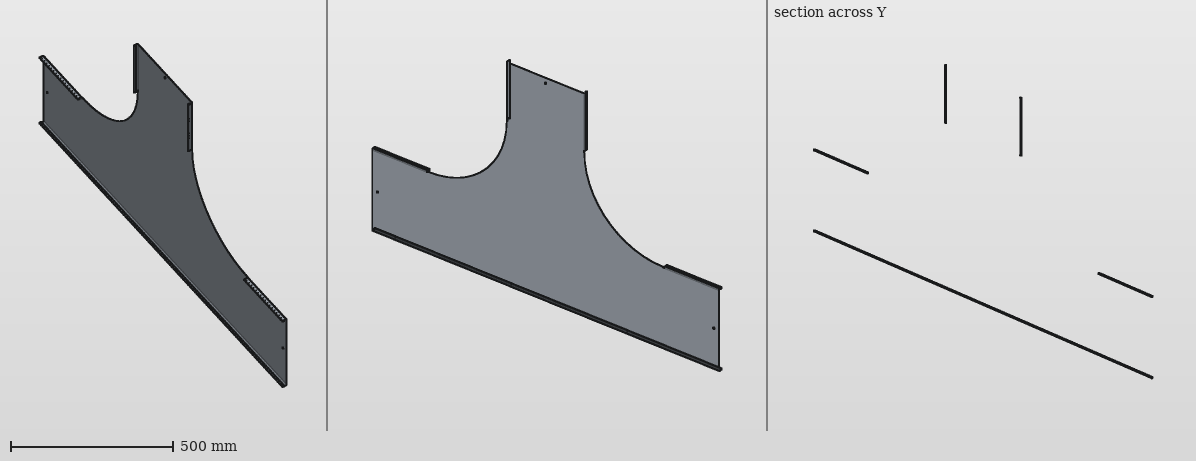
import cadquery as cq

length = 1334.0
depth = 16.0
height = 818.0
sheet = 1.1

plate_bend = 4.0
lip_bend = 2.0

arm_width = 301.0
half_length = length / 2
half_arm = arm_width / 2

corner_radius = 300.0
edge_inset = 1.0
plate_shoulder = arm_width - edge_inset
plate_half_arm = half_arm - edge_inset
corner_x = plate_half_arm + corner_radius
corner_z = plate_shoulder + corner_radius

lip_width = 4.7
lip_return = 7.0
relief = 4.0
arm_rim_length = 211.0

hole_diameter = 5.0
hole_inset = 20.0


def make_plate():
    """Flat tee plate whose outer face lies on Y = depth."""
    arc_offset = corner_radius * 0.5 ** 0.5
    arc_x = corner_x - arc_offset
    arc_z = corner_z - arc_offset
    return (
        cq.Workplane("XZ", origin=(0, depth, 0))
        .moveTo(-half_length, plate_bend)
        .lineTo(half_length, plate_bend)
        .lineTo(half_length, plate_shoulder)
        .lineTo(corner_x, plate_shoulder)
        .threePointArc((arc_x, arc_z), (plate_half_arm, corner_z))
        .lineTo(plate_half_arm, height)
        .lineTo(-plate_half_arm, height)
        .lineTo(-plate_half_arm, corner_z)
        .threePointArc((-arc_x, arc_z), (-corner_x, plate_shoulder))
        .lineTo(-half_length, plate_shoulder)
        .close()
        .extrude(sheet)
    )


def make_rim(rim_length):
    """Rim along +X from the origin: a rounded bar hollowed inside the lip and open next to the plate."""
    bar = (
        cq.Workplane("XY")
        .box(rim_length, depth, lip_width, centered=False)
        .edges("|X and <Y")
        .fillet(lip_bend)
        .edges("|X and >Y and <Z")
        .fillet(plate_bend)
    )
    lip_bore = (
        cq.Workplane("XY", origin=(0, sheet, sheet))
        .box(rim_length, lip_return - sheet, lip_width - 2 * sheet, centered=False)
        .edges("|X and <Y")
        .fillet(lip_bend - sheet)
    )
    mouth = (
        cq.Workplane("XY", origin=(0, lip_return, sheet))
        .box(rim_length, depth - sheet - lip_return, lip_width - sheet, centered=False)
        .edges("|X and >Y and <Z")
        .fillet(plate_bend - sheet)
    )
    return bar.cut(lip_bore).cut(mouth)


def place_at_shoulder(strip):
    """Move a strip built along +X from the origin to the upper edge of the -X arm."""
    return strip.mirror("XY").translate((-half_length, 0, arm_width))


def place_at_upright(strip):
    """Move a strip built along +X from the origin to the -X edge of the upright arm."""
    return strip.rotate((0, 0, 0), (0, 1, 0), 90).translate((-half_arm, 0, height))


def add_rims(body):
    """Fold a rim along the bottom, the arm shoulders and both sides of the upright arm."""
    body = body.union(make_rim(length).translate((-half_length, 0, 0)))
    arm_rim = make_rim(arm_rim_length)
    fold_strip = cq.Workplane("XY").box(arm_rim_length + relief, depth, plate_bend, centered=False)
    for place in (place_at_shoulder, place_at_upright):
        strip = place(fold_strip)
        rim = place(arm_rim)
        body = body.cut(strip).cut(strip.mirror("YZ"))
        body = body.union(rim).union(rim.mirror("YZ"))
    return body


def cut_holes(body):
    """Drill the fixing hole of each arm through the plate."""
    end_hole_x = half_length - hole_inset
    centres = [
        (-end_hole_x, half_arm),
        (end_hole_x, half_arm),
        (0, height - hole_inset),
    ]
    drills = (
        cq.Workplane("XZ", origin=(0, depth, 0))
        .pushPoints(centres)
        .circle(hole_diameter / 2)
        .extrude(depth)
    )
    return body.cut(drills)


result = cut_holes(add_rims(make_plate()))